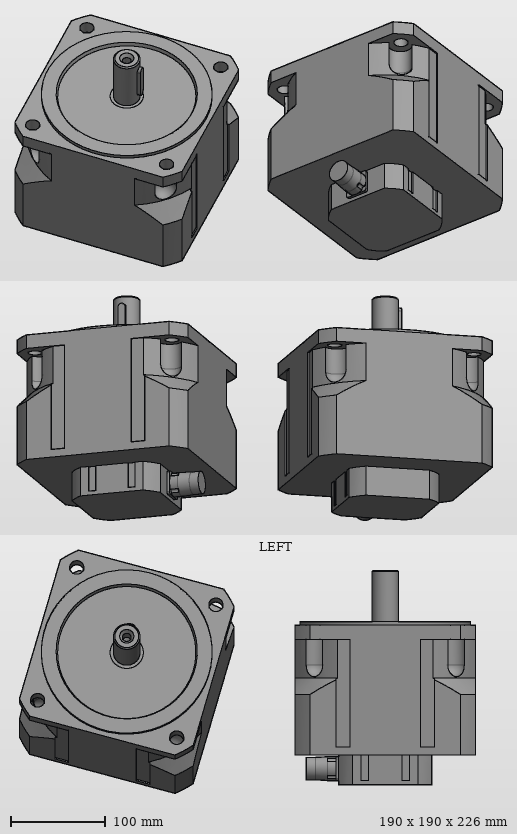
import cadquery as cq
import math

TOTAL_HEIGHT = 226
HOUSING_BOTTOM = 31.5
POCKET_BOTTOM = 112.8
POCKET_TOP = 153.2
FLANGE_TOP = 168.1
HUB_TOP = 172.0

HOUSING_WIDTH = 190.0
HOUSING_CORNER_DIAMETER = 247.7
CAP_WIDTH = 98.0
CAP_CORNER_DIAMETER = 120.0

HUB_DIAMETER = 180.0
HUB_RECESS_DIAMETER = 148.7
HUB_RECESS_FLOOR_DIAMETER = 145.5

SCREW_SPACING = 152.0
SCREW_HOLE_DIAMETER = 15.0
SCREW_POCKET_DIAMETER = 25.0
SCREW_POCKET_SPACING = 145.3
BALL_CENTRE_HEIGHT = 126.0
POCKET_WALL_DIAMETER = 212.2
CUT_MARGIN = 2.3

STRIP_DEPTH = 1.5
HOUSING_STRIP_INNER = 37.0
HOUSING_STRIP_WIDTH = 15.0
HOUSING_STRIP_BOTTOM = 40.0
CAP_STRIP_INNER = 17.9
CAP_STRIP_WIDTH = 8.0
CAP_STRIP_BOTTOM = 4.5

SHAFT_DIAMETER = 28.0
SHAFT_CHAMFER = 1.5
SHOULDER_DIAMETER = 35.0
SHOULDER_DEPTH = FLANGE_TOP - POCKET_TOP
CENTRE_MOUTH_DIAMETER = 15.0
CENTRE_DRILL_DIAMETER = 9
CENTRE_CONE_DEPTH = 3.8
CENTRE_DRILL_DEPTH = 18
DRILL_TIP_ANGLE = 118

KEY_WIDTH = 8.0
KEY_LENGTH = 40.0
KEY_BOTTOM = 177.0
KEY_OUTER_X = 17.2
KEY_SEAT_X = 10.0

CONNECTOR_HEIGHT = 17.2
CONNECTOR_FLANGE_WIDTH = 25.5
CONNECTOR_FLANGE_ROUNDING = 2.5
CONNECTOR_FLANGE_THICKNESS = 3.0
CONNECTOR_COLLAR_LENGTH = 8.5
CONNECTOR_TAPER_LENGTH = 12.9
CONNECTOR_TIP_LENGTH = 10.0
CONNECTOR_TIP_DIAMETER = 24.0
CONNECTOR_GROOVE_DIAMETER = 5.5
CONNECTOR_GROOVE_CIRCLE = 28.2
CONNECTOR_GROOVE_COUNT = 4


def cylinder(diameter, bottom, top):
    return cq.Workplane("XY").workplane(offset=bottom).circle(diameter / 2).extrude(top - bottom)


def cornered_block(width, corner_diameter, bottom, top):
    """Square block whose corners are turned off by a circle around the Z axis."""
    block = cq.Workplane("XY").workplane(offset=bottom).rect(width, width).extrude(top - bottom)
    return block.intersect(cylinder(corner_diameter, bottom, top))


def side_strips(width, inner, strip_width, bottom, top):
    """Four upright strips, two on each X side, as a cutting shape."""
    middle = inner + strip_width / 2
    places = [(sx * width / 2, sy * middle) for sx in (-1, 1) for sy in (-1, 1)]
    plan = cq.Workplane("XY").workplane(offset=bottom).pushPoints(places)
    return plan.rect(2 * STRIP_DEPTH, strip_width).extrude(top - bottom)


def corner_pockets():
    """Ring that leaves a round core, with a 45 degree cone running out to the corners."""
    wall = POCKET_WALL_DIAMETER / 2
    outside = HOUSING_CORNER_DIAMETER / 2 + CUT_MARGIN
    cone_bottom = POCKET_BOTTOM - (outside - wall)
    profile = [(wall, POCKET_TOP), (wall, POCKET_BOTTOM), (outside, cone_bottom), (outside, POCKET_TOP)]
    return cq.Workplane("XZ").polyline(profile).close().revolve(360, (0, 0), (0, 1))


def at_corners(shape, spacing):
    """Copies of a shape at the four corners of a square centred on the Z axis."""
    reach = spacing / 2
    return [shape.translate((sx * reach, sy * reach, 0)) for sx in (-1, 1) for sy in (-1, 1)]


def screw_cuts():
    """Flange screw holes, with round-bottomed clearances for the screws set slightly inward."""
    hole = cylinder(SCREW_HOLE_DIAMETER, POCKET_TOP, FLANGE_TOP)
    ball = cq.Workplane("XY").workplane(offset=BALL_CENTRE_HEIGHT).sphere(SCREW_POCKET_DIAMETER / 2)
    clearance = cylinder(SCREW_POCKET_DIAMETER, BALL_CENTRE_HEIGHT, POCKET_TOP).union(ball)
    return at_corners(hole, SCREW_SPACING) + at_corners(clearance, SCREW_POCKET_SPACING)


def hub_recess():
    recess = cq.Workplane("XY").workplane(offset=FLANGE_TOP).circle(HUB_RECESS_FLOOR_DIAMETER / 2)
    recess = recess.workplane(offset=HUB_TOP - FLANGE_TOP).circle(HUB_RECESS_DIAMETER / 2)
    return recess.loft()


def make_housing():
    """Flanged housing with its centring hub and the smaller cap at the rear."""
    housing = cornered_block(HOUSING_WIDTH, HOUSING_CORNER_DIAMETER, HOUSING_BOTTOM, FLANGE_TOP)
    housing = housing.cut(corner_pockets())
    for cut in screw_cuts():
        housing = housing.cut(cut)
    housing = housing.cut(side_strips(
        HOUSING_WIDTH, HOUSING_STRIP_INNER, HOUSING_STRIP_WIDTH, HOUSING_STRIP_BOTTOM, POCKET_TOP))

    hub = cylinder(HUB_DIAMETER, FLANGE_TOP, HUB_TOP).cut(hub_recess())
    cap = cornered_block(CAP_WIDTH, CAP_CORNER_DIAMETER, 0, HOUSING_BOTTOM)
    cap = cap.cut(side_strips(
        CAP_WIDTH, CAP_STRIP_INNER, CAP_STRIP_WIDTH, CAP_STRIP_BOTTOM, HOUSING_BOTTOM))

    shaft_seat = cylinder(SHOULDER_DIAMETER, FLANGE_TOP - SHOULDER_DEPTH, FLANGE_TOP)
    return housing.union(hub).union(cap).cut(shaft_seat)


def centre_hole():
    """Conical mouth, drilled bore and drill point in the shaft end."""
    mouth = CENTRE_MOUTH_DIAMETER / 2
    bore = CENTRE_DRILL_DIAMETER / 2
    tip_height = bore / math.tan(math.radians(DRILL_TIP_ANGLE / 2))
    bore_end = TOTAL_HEIGHT - CENTRE_DRILL_DEPTH
    profile = [
        (0, TOTAL_HEIGHT),
        (mouth, TOTAL_HEIGHT),
        (bore, TOTAL_HEIGHT - CENTRE_CONE_DEPTH),
        (bore, bore_end),
        (0, bore_end - tip_height),
    ]
    return cq.Workplane("XZ").polyline(profile).close().revolve(360, (0, 0), (0, 1))


def shaft_key():
    """Round-ended key standing on its seat in the shaft."""
    key = cq.Workplane("YZ").workplane(offset=KEY_SEAT_X).center(0, KEY_BOTTOM + KEY_LENGTH / 2)
    return key.slot2D(KEY_LENGTH, KEY_WIDTH, 90).extrude(KEY_OUTER_X - KEY_SEAT_X)


def make_shaft():
    """Output shaft with its shoulder, centre hole and key."""
    shaft = cylinder(SHAFT_DIAMETER, FLANGE_TOP, TOTAL_HEIGHT).faces(">Z").chamfer(SHAFT_CHAMFER)
    shoulder = cylinder(SHOULDER_DIAMETER, FLANGE_TOP - SHOULDER_DEPTH, FLANGE_TOP)
    return shaft.union(shoulder).cut(centre_hole()).union(shaft_key())


def make_connector():
    """Square-flanged connector with a grooved collar, a slight taper and a round tip."""
    collar_start = CONNECTOR_FLANGE_THICKNESS
    collar_end = collar_start + CONNECTOR_COLLAR_LENGTH
    taper_end = collar_end + CONNECTOR_TAPER_LENGTH
    collar_radius = CONNECTOR_FLANGE_WIDTH / 2

    flange = cq.Workplane("XY").rect(CONNECTOR_FLANGE_WIDTH, CONNECTOR_FLANGE_WIDTH)
    flange = flange.extrude(CONNECTOR_FLANGE_THICKNESS).edges("|Z").fillet(CONNECTOR_FLANGE_ROUNDING)
    grooves = cq.Workplane("XY").workplane(offset=collar_start)
    first_angle = 180 / CONNECTOR_GROOVE_COUNT
    grooves = grooves.polarArray(CONNECTOR_GROOVE_CIRCLE / 2, first_angle, 360, CONNECTOR_GROOVE_COUNT)
    grooves = grooves.circle(CONNECTOR_GROOVE_DIAMETER / 2).extrude(CONNECTOR_COLLAR_LENGTH)
    collar = cylinder(CONNECTOR_FLANGE_WIDTH, collar_start, collar_end)
    collar = collar.cut(grooves)
    taper = cq.Workplane("XY").workplane(offset=collar_end).circle(collar_radius)
    taper = taper.workplane(offset=CONNECTOR_TAPER_LENGTH).circle(CONNECTOR_TIP_DIAMETER / 2).loft()
    tip = cylinder(CONNECTOR_TIP_DIAMETER, taper_end, taper_end + CONNECTOR_TIP_LENGTH)

    connector = flange.union(collar).union(taper).union(tip)
    connector = connector.rotate((0, 0, 0), (1, 0, 0), -90)
    return connector.translate((0, CAP_WIDTH / 2, CONNECTOR_HEIGHT))


housing = make_housing()
shaft = make_shaft()
connector = make_connector()

result = cq.Compound.makeCompound([housing.val(), shaft.val(), connector.val()])